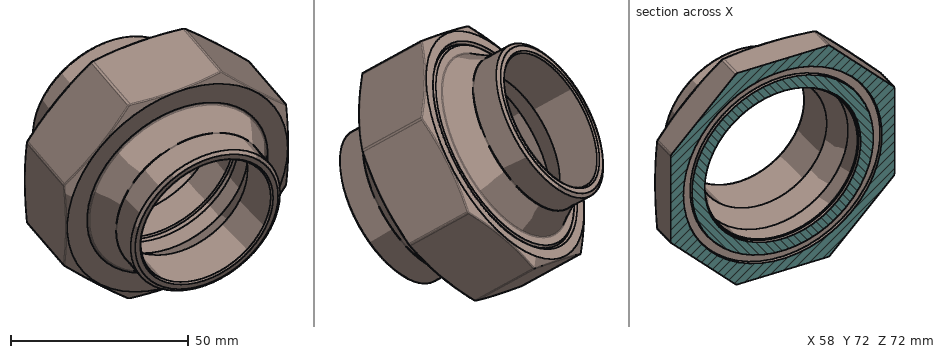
import cadquery as cq
import math

TOTAL_LENGTH = 58.0
ACROSS_FLATS = 72.0

NUT_SIDES = 8
NUT_LENGTH = 24.3
CORNER_FILLET = 1.0
CROWN_DIAMETER = 71.2
CROWN_ANGLE = 23.0
CROWN_FILLET = 0.35
MOUTH_DIAMETER = 65.0
LIP_LENGTH = 5.05

THREAD_DIAMETER = 63.65
THREAD_END_DIAMETER = 62.5
THREAD_CHAMFER_LENGTH = 0.65

PIPE_DIAMETER = 48.3
PIPE_BORE = 42.0
PIPE_CHAMFER_LENGTH = 0.7
PIPE_CHAMFER_HEIGHT = 1.1
BORE_CHAMFER = 0.5
NECK_ANGLE = 30.0
NECK_BASE_DIAMETER = 57.3
NECK_FILLET = 0.35
CHAMBER_BORE = 49.0
CHAMBER_OFFSET = 9.0

JOINT = 1.5
GASKET_THICKNESS = 2.0
GASKET_BORE = 50.0
GASKET_DIAMETER = 58.5

MATCH_TOLERANCE = 0.01

nut_face = NUT_LENGTH / 2
pipe_end = TOTAL_LENGTH / 2
gasket_end = JOINT + GASKET_THICKNESS
lip_start = nut_face - LIP_LENGTH
neck_slope = math.tan(math.radians(NECK_ANGLE))
neck_start = nut_face + (NECK_BASE_DIAMETER - PIPE_DIAMETER) / 2 / neck_slope
taper_start = CHAMBER_OFFSET + (CHAMBER_BORE - PIPE_BORE) / 2 / neck_slope
bore_edge_chamfer = (GASKET_BORE - CHAMBER_BORE) / 2


def revolve_about_x(points):
    """Solid of revolution about X from a closed outline of (x, radius) points."""
    return cq.Workplane("XY").polyline(points).close().revolve(360, (0, 0, 0), (1, 0, 0))


def circles_at(body, x, diameter=None):
    """Circular edges of a body at one x, of one diameter if it is given."""
    return [
        edge
        for edge in body.edges("%CIRCLE").vals()
        if abs(edge.Center().x - x) < MATCH_TOLERANCE
        and (diameter is None or abs(2 * edge.radius() - diameter) < MATCH_TOLERANCE)
    ]


def make_octagon():
    """Octagon with rounded corners and a conical crown on both end faces."""
    corner_diameter = ACROSS_FLATS / math.cos(math.pi / NUT_SIDES)
    octagon = (
        cq.Workplane("YZ")
        .workplane(offset=-nut_face)
        .transformed(rotate=(0, 0, 180 / NUT_SIDES))
        .polygon(NUT_SIDES, corner_diameter)
        .extrude(NUT_LENGTH)
        .edges("|X")
        .fillet(CORNER_FILLET)
    )
    crown_height = (corner_diameter - CROWN_DIAMETER) / 2
    crown_length = crown_height * math.tan(math.radians(CROWN_ANGLE))
    crown = revolve_about_x([
        (-nut_face, 0),
        (-nut_face, CROWN_DIAMETER / 2),
        (crown_length - nut_face, corner_diameter / 2),
        (nut_face - crown_length, corner_diameter / 2),
        (nut_face, CROWN_DIAMETER / 2),
        (nut_face, 0),
    ])
    crowned = octagon.intersect(crown)
    face_circles = circles_at(crowned, -nut_face) + circles_at(crowned, nut_face)
    crown_rim = [
        edge
        for edge in crowned.edges("not %LINE").vals()
        if not any(edge.isSame(circle) for circle in face_circles)
    ]
    return crowned.newObject(crown_rim).fillet(CROWN_FILLET)


def make_nut():
    """Octagon bored for the thread, with a retaining lip at +X."""
    bore = revolve_about_x([
        (-nut_face, 0),
        (-nut_face, MOUTH_DIAMETER / 2),
        (THREAD_CHAMFER_LENGTH - nut_face, THREAD_DIAMETER / 2),
        (lip_start, THREAD_DIAMETER / 2),
        (lip_start, GASKET_DIAMETER / 2),
        (nut_face, GASKET_DIAMETER / 2),
        (nut_face, 0),
    ])
    return make_octagon().cut(bore)


def make_tailpiece(collar, bore_end):
    """Tailpiece with its pipe at -X.

    collar lists the (x, radius) points outside, from the neck base to the joint;
    bore_end lists those inside, from the joint back to the chamber.
    """
    pipe_radius = PIPE_DIAMETER / 2
    bore_radius = PIPE_BORE / 2
    pipe = [
        (-taper_start, bore_radius),
        (BORE_CHAMFER - pipe_end, bore_radius),
        (-pipe_end, bore_radius + BORE_CHAMFER),
        (-pipe_end, pipe_radius - PIPE_CHAMFER_HEIGHT),
        (PIPE_CHAMFER_LENGTH - pipe_end, pipe_radius),
        (-neck_start, pipe_radius),
        (-nut_face, NECK_BASE_DIAMETER / 2),
    ]
    chamber = [(-CHAMBER_OFFSET, CHAMBER_BORE / 2)]
    body = revolve_about_x(pipe + collar + bore_end + chamber)
    neck_ends = circles_at(body, -neck_start) + circles_at(body, -nut_face, NECK_BASE_DIAMETER)
    return body.newObject(neck_ends).fillet(NECK_FILLET)


def make_threaded_tailpiece():
    """Tailpiece at -X, screwed into the nut and flush with its face."""
    collar = [
        (-nut_face, THREAD_END_DIAMETER / 2),
        (THREAD_CHAMFER_LENGTH - nut_face, THREAD_DIAMETER / 2),
        (JOINT, THREAD_DIAMETER / 2),
    ]
    bore_end = [
        (JOINT, GASKET_BORE / 2),
        (JOINT - bore_edge_chamfer, CHAMBER_BORE / 2),
    ]
    return make_tailpiece(collar, bore_end)


def make_collared_tailpiece():
    """Tailpiece at +X, held by the lip of the nut."""
    collar = [
        (-nut_face, GASKET_DIAMETER / 2),
        (-lip_start, GASKET_DIAMETER / 2),
        (-lip_start, THREAD_DIAMETER / 2),
        (-gasket_end, THREAD_DIAMETER / 2),
    ]
    bore_end = [(-gasket_end, CHAMBER_BORE / 2)]
    return make_tailpiece(collar, bore_end).mirror("YZ")


def make_gasket():
    """Flat ring between the end faces of the tailpieces."""
    return (
        cq.Workplane("YZ")
        .workplane(offset=JOINT)
        .circle(GASKET_DIAMETER / 2)
        .circle(GASKET_BORE / 2)
        .extrude(GASKET_THICKNESS)
    )


nut = make_nut()
threaded_tailpiece = make_threaded_tailpiece()
collared_tailpiece = make_collared_tailpiece()
gasket = make_gasket()

result = cq.Compound.makeCompound([
    nut.val(),
    threaded_tailpiece.val(),
    collared_tailpiece.val(),
    gasket.val(),
])